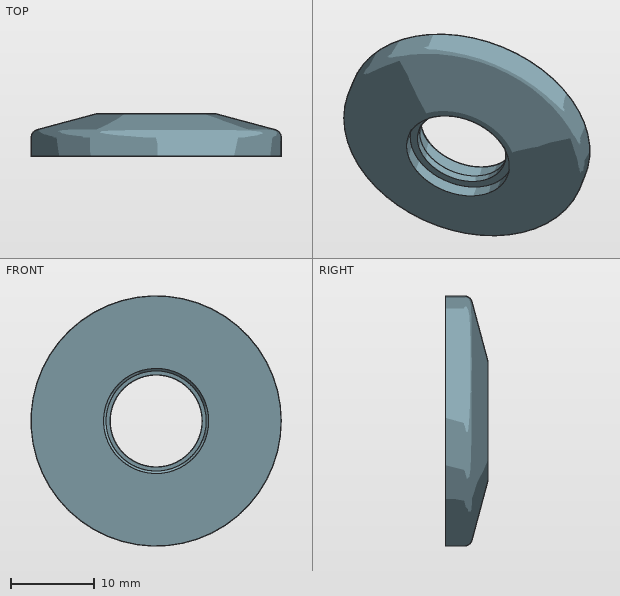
import cadquery as cq
import math

OUTER_DIAMETER = 30.0
THICKNESS = 5.1
EDGE_HEIGHT = 3.0
CONE_ANGLE = 15.0
RIM_FILLET = 1.0
BORE_DIAMETER = 11.0
COUNTERBORE_DIAMETER = 12.0
COUNTERBORE_DEPTH = 2.5
ENTRY_CHAMFER = 0.3
BACK_RECESS_DIAMETER = 12.8
BACK_RECESS_DEPTH = 1.6

outer_radius = OUTER_DIAMETER / 2
bore_radius = BORE_DIAMETER / 2
counterbore_radius = COUNTERBORE_DIAMETER / 2
back_recess_radius = BACK_RECESS_DIAMETER / 2
back_recess_floor = THICKNESS - BACK_RECESS_DEPTH
cone_slope = math.tan(math.radians(CONE_ANGLE))
back_face_radius = outer_radius - (THICKNESS - EDGE_HEIGHT) / cone_slope

fillet_sweep = 90 - CONE_ANGLE
fillet_tangent_length = RIM_FILLET * math.tan(math.radians(fillet_sweep) / 2)
fillet_start = (outer_radius, EDGE_HEIGHT - fillet_tangent_length)
fillet_centre = (outer_radius - RIM_FILLET, fillet_start[1])


def point_on_fillet(angle_degrees):
    """Point of the rim fillet at an angle measured from the radial direction."""
    angle = math.radians(angle_degrees)
    return (
        fillet_centre[0] + RIM_FILLET * math.cos(angle),
        fillet_centre[1] + RIM_FILLET * math.sin(angle),
    )


def make_washer():
    """Revolve the half section (radius, height) about the Y axis."""
    half_section = (
        cq.Workplane("XY")
        .moveTo(counterbore_radius + ENTRY_CHAMFER, 0)
        .lineTo(outer_radius, 0)
        .lineTo(*fillet_start)
        .threePointArc(point_on_fillet(fillet_sweep / 2), point_on_fillet(fillet_sweep))
        .lineTo(back_face_radius, THICKNESS)
        .lineTo(back_recess_radius, THICKNESS)
        .lineTo(back_recess_radius, back_recess_floor)
        .lineTo(bore_radius, back_recess_floor)
        .lineTo(bore_radius, COUNTERBORE_DEPTH)
        .lineTo(counterbore_radius, COUNTERBORE_DEPTH)
        .lineTo(counterbore_radius, ENTRY_CHAMFER)
        .close()
    )
    return half_section.revolve(360, (0, 0, 0), (0, 1, 0))


result = make_washer()